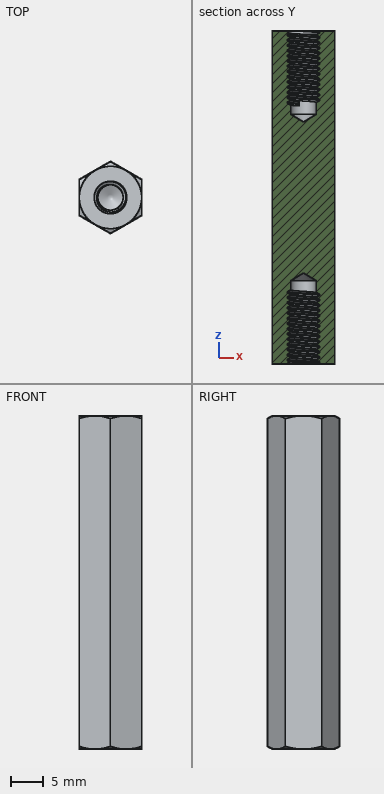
import cadquery as cq
import math

INCH = 25.4
ACROSS_FLATS = 0.375 * INCH
LENGTH = 2.0 * INCH
ACROSS_CORNERS = ACROSS_FLATS / math.cos(math.radians(30))

END_FACE_DIAMETER = 9.5
END_CHAMFER_ANGLE = math.radians(30)

ENVELOPE_CLEARANCE = 0.5

PITCH = INCH / 32
MAJOR_DIAMETER = 0.19 * INCH
MINOR_DIAMETER = 3.86
HOLE_DEPTH = 0.5 * INCH
DRILL_POINT_ANGLE = math.radians(118)
CREST_WIDTH = PITCH / 8
FLANK_ANGLE = math.radians(30)
COUNTERSINK_DIAMETER = 4.97
COUNTERSINK_ANGLE = math.radians(90)
THREAD_START = 110
PROFILE_OVERLAP = 0.05
THREAD_RUN_OUT = 2 * PITCH


def hex_bar():
    """Hexagonal bar with its corners on the Y axis."""
    bar = cq.Workplane("XY").polygon(6, ACROSS_CORNERS).extrude(LENGTH)
    return bar.rotate((0, 0, 0), (0, 0, 1), 90)


def turned_envelope():
    """Cylinder around the hexagon with a conical chamfer at each end."""
    face_radius = END_FACE_DIAMETER / 2
    outer_radius = ACROSS_CORNERS / 2 + ENVELOPE_CLEARANCE
    drop = (outer_radius - face_radius) * math.tan(END_CHAMFER_ANGLE)
    return (
        cq.Workplane("XZ")
        .moveTo(0, 0)
        .lineTo(face_radius, 0)
        .lineTo(outer_radius, drop)
        .lineTo(outer_radius, LENGTH - drop)
        .lineTo(face_radius, LENGTH)
        .lineTo(0, LENGTH)
        .close()
        .revolve(360, (0, 0, 0), (0, 1, 0))
    )


def drilled_hole():
    """Bore going down from the top face, ending in a drill point."""
    radius = MINOR_DIAMETER / 2
    bottom = LENGTH - HOLE_DEPTH
    tip = bottom - radius / math.tan(DRILL_POINT_ANGLE / 2)
    return (
        cq.Workplane("XZ")
        .moveTo(0, LENGTH)
        .lineTo(radius, LENGTH)
        .lineTo(radius, bottom)
        .lineTo(0, tip)
        .close()
        .revolve(360, (0, 0, 0), (0, 1, 0))
    )


def thread_groove():
    """Helical V groove that runs out through the top face."""
    start = LENGTH - HOLE_DEPTH + THREAD_RUN_OUT
    height = LENGTH + PITCH - start
    bore_radius = MINOR_DIAMETER / 2
    inner_radius = bore_radius - PROFILE_OVERLAP
    outer_radius = MAJOR_DIAMETER / 2
    bore_half = (PITCH - CREST_WIDTH) / 2
    mouth_half = bore_half + PROFILE_OVERLAP * math.tan(FLANK_ANGLE)
    root_half = bore_half - (outer_radius - bore_radius) * math.tan(FLANK_ANGLE)
    helix = cq.Wire.makeHelix(PITCH, height, inner_radius, cq.Vector(0, 0, start))
    groove = (
        cq.Workplane("XZ")
        .moveTo(inner_radius, start - mouth_half)
        .lineTo(outer_radius, start - root_half)
        .lineTo(outer_radius, start + root_half)
        .lineTo(inner_radius, start + mouth_half)
        .close()
        .sweep(cq.Workplane(obj=helix), isFrenet=True)
    )
    return groove.rotate((0, 0, 0), (0, 0, 1), THREAD_START)


def countersink():
    """Cone that opens the mouth of the hole at the top face."""
    radius = COUNTERSINK_DIAMETER / 2
    depth = radius / math.tan(COUNTERSINK_ANGLE / 2)
    return (
        cq.Workplane("XZ")
        .moveTo(0, LENGTH)
        .lineTo(radius, LENGTH)
        .lineTo(0, LENGTH - depth)
        .close()
        .revolve(360, (0, 0, 0), (0, 1, 0))
    )


def cut_tapped_hole(body):
    """Drill, tap and countersink the top end."""
    return body.cut(drilled_hole()).cut(thread_groove()).cut(countersink())


def turn_over(body):
    """Swap the top and bottom ends."""
    return body.rotate((0, 0, LENGTH / 2), (1, 0, LENGTH / 2), 180)


standoff = hex_bar().intersect(turned_envelope())
standoff = cut_tapped_hole(standoff)
standoff = turn_over(cut_tapped_hole(turn_over(standoff)))
result = standoff.solids()